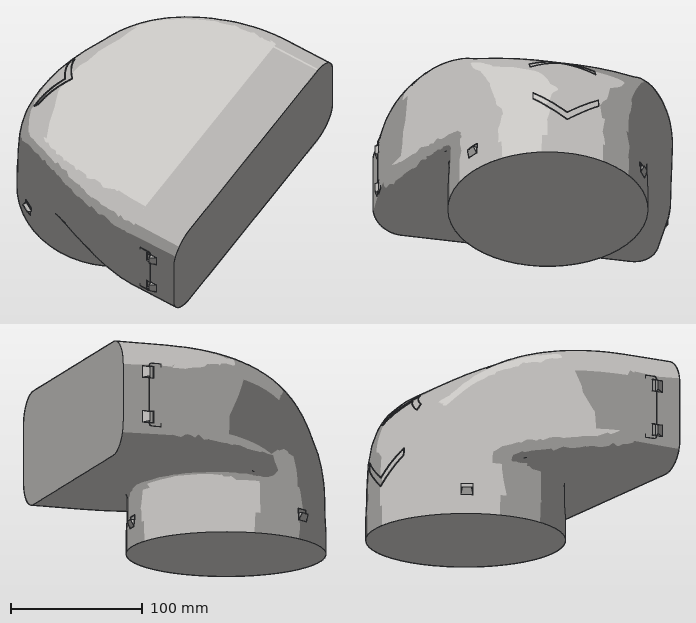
import cadquery as cq
import math


COLLAR_RADIUS = 76.0
COLLAR_TOP_RADIUS = 75.1
COLLAR_BAND = 15.7
COLLAR_HEIGHT = 40.6

TOTAL_HEIGHT = 136.9
DUCT_HEIGHT = 88.8
DUCT_WIDTH = 222.0
CORNER_RADIUS = 22.2
DUCT_END = 123.5
DUCT_LENGTH = 40.0
SOCKET_LENGTH = 30.5
DUCT_START = DUCT_END - DUCT_LENGTH
DUCT_SIDE = DUCT_WIDTH / 2
HALF_HEIGHT = DUCT_HEIGHT / 2
DUCT_MIDDLE = TOTAL_HEIGHT - HALF_HEIGHT
FLAT_Y = DUCT_SIDE - CORNER_RADIUS
FLAT_Z = HALF_HEIGHT - CORNER_RADIUS

SNAP_WIDTH = 9
SNAP_HEIGHT = 2.5
SNAP_LENGTH = 5.5
SNAP_CATCH = 3.6
SNAP_POCKET_DEPTH = 1.0
SNAP_TIP = 1.1
SNAP_ROOT = 2.3
DUCT_SNAP_CREST = DUCT_END - 20.9
DUCT_SNAP_OFFSET = 17.5
COLLAR_SNAP_CREST = 20.2
COLLAR_SNAP_ANGLES = (0, 120, 240)

PAD_RISE = 0.7
PAD_HEIGHT = 49.0
PAD_CORNER = 2.3
PAD_ROOT = 1.1

CHEVRON_HALF_WIDTH = 25.5
UPPER_CHEVRON = ((108.0, 93.5), (103.0, 88.3))
LOWER_CHEVRON = ((38.5, 57.0), (31.8, 51.0))
GROOVE_DEPTH = 0.7

STRIP_COLUMNS = 24
STRIP_ROWS = 40
FIT_TOLERANCE = 0.0005
SEW_TOLERANCE = 0.02
PLANE_TOLERANCE = 0.11


def collar_rim(angle):
    """Point on the collar's upper rim; the angle starts at -X and turns toward +Y."""
    turn = math.radians(angle)
    return (-COLLAR_TOP_RADIUS * math.cos(turn), COLLAR_TOP_RADIUS * math.sin(turn), COLLAR_HEIGHT)


def straight_edge(start, end):
    """Path along a straight stretch of the duct outline, as (y, z from mid height)."""
    return lambda t: (start[0] + t * (end[0] - start[0]), start[1] + t * (end[1] - start[1]))


def corner_arc(centre_z, start_angle):
    """Path around a rounded corner of the duct outline, turning clockwise by 90 degrees."""
    def path(t):
        turn = math.radians(start_angle - 90 * t)
        return (FLAT_Y + CORNER_RADIUS * math.cos(turn), centre_z + CORNER_RADIUS * math.sin(turn))
    return path


CREST_PULL = (0.82, 0.45)
UPPER_PULL = (0.88, 0.46)
SIDE_PULL = (1.11, 0.47)
LOWER_PULL = (1.23, 0.24)
BELLY_PULL = (1.6, 0.7)
INNER_PULL = (0.9, 0.8)

STRIPS = [
    ((0, 36), straight_edge((0, HALF_HEIGHT), (FLAT_Y, HALF_HEIGHT)), CREST_PULL, UPPER_PULL),
    ((36, 54), corner_arc(FLAT_Z, 90), UPPER_PULL, SIDE_PULL),
    ((54, 72), straight_edge((DUCT_SIDE, FLAT_Z), (DUCT_SIDE, -FLAT_Z)), SIDE_PULL, LOWER_PULL),
    ((72, 90), corner_arc(-FLAT_Z, 0), LOWER_PULL, BELLY_PULL),
    ((90, 180), straight_edge((FLAT_Y, -HALF_HEIGHT), (0, -HALF_HEIGHT)), BELLY_PULL, INNER_PULL),
]


def blend(start, end, t):
    return start + t * (end - start)


def bend_point(strip, t, s):
    """Point of a strip: t runs around the outline, s runs along a cubic from collar to duct."""
    angles, path, first_pull, last_pull = strip
    x0, y0, z0 = collar_rim(blend(*angles, t))
    y1, z1 = path(t)
    z1 += DUCT_MIDDLE
    rise = (z1 - z0) * blend(first_pull[0], last_pull[0], t)
    run = (DUCT_START - x0) * blend(first_pull[1], last_pull[1], t)
    w0, w1, w2, w3 = (1 - s) ** 3, 3 * s * (1 - s) ** 2, 3 * s * s * (1 - s), s ** 3
    return (
        w0 * x0 + w1 * x0 + w2 * (DUCT_START - run) + w3 * DUCT_START,
        (w0 + w1) * y0 + (w2 + w3) * y1,
        w0 * z0 + w1 * (z0 + rise) + w2 * z1 + w3 * z1,
    )


def strip_face(strip, side):
    """Smooth face through a strip; side is +1 or -1 for the +Y or -Y half."""
    grid = []
    for i in range(STRIP_COLUMNS + 1):
        row = []
        for j in range(STRIP_ROWS + 1):
            x, y, z = bend_point(strip, i / STRIP_COLUMNS, j / STRIP_ROWS)
            row.append(cq.Vector(x, side * y, z))
        grid.append(row)
    return cq.Face.makeSplineApprox(grid, tol=FIT_TOLERANCE, minDeg=3, maxDeg=6)


def end_cap(strips, axis, position):
    """Flat face that closes the open end of the strips in the plane where axis equals position."""
    rim = []
    for strip in strips:
        for edge in strip.Edges():
            box = edge.BoundingBox()
            ends = (box.zmin, box.zmax) if axis == "Z" else (box.xmin, box.xmax)
            if all(abs(end - position) < PLANE_TOLERANCE for end in ends):
                rim.append(edge)
    return cq.Face.makeFromWires(cq.Wire.combine(rim, SEW_TOLERANCE)[0])


def make_bend():
    strips = [strip_face(strip, side) for strip in STRIPS for side in (1, -1)]
    caps = [end_cap(strips, "Z", COLLAR_HEIGHT), end_cap(strips, "X", DUCT_START)]
    skin = cq.occ_impl.shapes.shell(*strips, *caps, tol=SEW_TOLERANCE)
    return cq.Workplane(cq.Solid.makeSolid(skin))


def make_collar():
    outline = [
        (0, 0),
        (COLLAR_RADIUS, 0),
        (COLLAR_RADIUS, COLLAR_BAND),
        (COLLAR_TOP_RADIUS, COLLAR_HEIGHT),
        (0, COLLAR_HEIGHT),
    ]
    return cq.Workplane("XZ").polyline(outline).close().revolve(360, (0, 0, 0), (0, 1, 0))


def make_duct():
    return (
        cq.Workplane("YZ", origin=(DUCT_START, 0, DUCT_MIDDLE))
        .rect(DUCT_WIDTH, DUCT_HEIGHT)
        .extrude(DUCT_LENGTH)
        .edges("|X")
        .fillet(CORNER_RADIUS)
    )


def snap_planes():
    """Frames of all hooks: origin on the crest line, x along the ramp, y outward from the wall."""
    up = cq.Vector(0, 0, 1)
    along_duct = cq.Vector(1, 0, 0)
    frames = []
    for side in (1, -1):
        outward = cq.Vector(0, side, 0)
        for offset in (DUCT_SNAP_OFFSET, -DUCT_SNAP_OFFSET):
            origin = cq.Vector(DUCT_SNAP_CREST, side * DUCT_SIDE, DUCT_MIDDLE + offset)
            frames.append(cq.Plane(origin, along_duct, along_duct.cross(outward)))
    for angle in COLLAR_SNAP_ANGLES:
        turn = math.radians(angle)
        outward = cq.Vector(math.cos(turn), math.sin(turn), 0)
        origin = outward * COLLAR_RADIUS + up * COLLAR_SNAP_CREST
        frames.append(cq.Plane(origin, -up, outward.cross(up)))
    return frames


def make_snap(plane):
    """Wedge with a steep catch face at the crest and ends that lean inward."""
    half = SNAP_WIDTH / 2
    ramp = (
        cq.Workplane(plane)
        .polyline([(0, -SNAP_ROOT), (0, SNAP_HEIGHT), (SNAP_LENGTH, 0), (SNAP_LENGTH, -SNAP_ROOT)])
        .close()
        .extrude(half, both=True)
    )
    ends = (
        cq.Workplane(cq.Plane(plane.origin, plane.zDir, plane.xDir))
        .polyline([
            (-half, SNAP_ROOT),
            (-half, 0),
            (SNAP_TIP - half, -SNAP_HEIGHT),
            (half - SNAP_TIP, -SNAP_HEIGHT),
            (half, 0),
            (half, SNAP_ROOT),
        ])
        .close()
        .extrude(SNAP_LENGTH)
    )
    return ramp.intersect(ends)


def make_snap_pocket(plane):
    """Shallow pocket in front of a hook's catch face."""
    return (
        cq.Workplane(plane)
        .center(-SNAP_CATCH / 2, 0)
        .rect(SNAP_CATCH, 2 * SNAP_POCKET_DEPTH)
        .extrude(SNAP_WIDTH / 2, both=True)
    )


def make_pad(side):
    """Ramp on the duct side that rises from the socket's start to the hooks' crests."""
    start = DUCT_END - SOCKET_LENGTH
    return (
        cq.Workplane("XY", origin=(0, 0, DUCT_MIDDLE))
        .polyline([
            (start, side * DUCT_SIDE),
            (DUCT_SNAP_CREST, side * (DUCT_SIDE + PAD_RISE)),
            (DUCT_SNAP_CREST, side * (DUCT_SIDE - PAD_ROOT)),
            (start, side * (DUCT_SIDE - PAD_ROOT)),
        ])
        .close()
        .extrude(PAD_HEIGHT / 2, both=True)
        .edges("|Y and >X")
        .fillet(PAD_CORNER)
    )


def make_chevron(body, upper_edge, lower_edge):
    """Sliver of the body's skin, on the -X side, inside the chevron outline."""
    outline = [
        (-CHEVRON_HALF_WIDTH, upper_edge[1]),
        (0, upper_edge[0]),
        (CHEVRON_HALF_WIDTH, upper_edge[1]),
        (CHEVRON_HALF_WIDTH, lower_edge[1]),
        (0, lower_edge[0]),
        (-CHEVRON_HALF_WIDTH, lower_edge[1]),
    ]
    prism = cq.Workplane("YZ").polyline(outline).close().extrude(-2 * COLLAR_RADIUS)
    return prism.cut(body.translate((GROOVE_DEPTH, 0, 0)))


body = make_collar().union(make_bend(), tol=SEW_TOLERANCE).union(make_duct(), tol=SEW_TOLERANCE)
chevrons = [make_chevron(body, *edges) for edges in (UPPER_CHEVRON, LOWER_CHEVRON)]

result = body
for chevron in chevrons:
    result = result.cut(chevron)
for side in (1, -1):
    result = result.union(make_pad(side))
for plane in snap_planes():
    result = result.cut(make_snap_pocket(plane)).union(make_snap(plane))